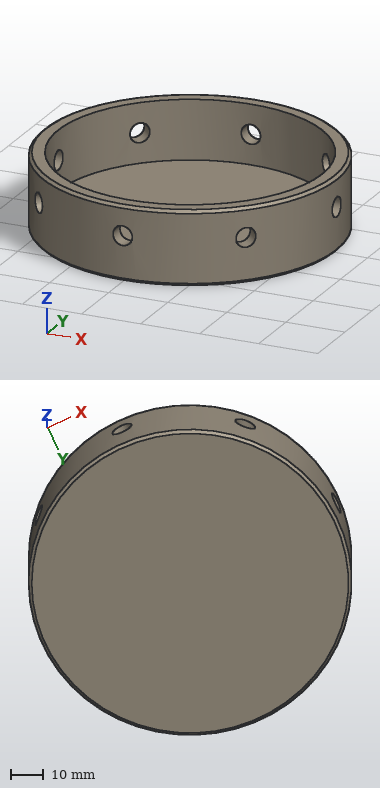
import cadquery as cq

outer_diameter = 99.4
height = 25.0
bore_diameter = 89.4
floor_thickness = (outer_diameter - bore_diameter) / 2
edge_chamfer = 1.0

hole_diameter = 6.5
hole_count = 8
hole_height = (height + floor_thickness) / 2


def cup():
    """Round cup, open at the top, with both outer rims chamfered."""
    body = cq.Workplane("XY").circle(outer_diameter / 2).extrude(height)
    body = body.edges().chamfer(edge_chamfer)
    cavity = (
        cq.Workplane("XY")
        .workplane(offset=floor_thickness)
        .circle(bore_diameter / 2)
        .extrude(height - floor_thickness)
    )
    return body.cut(cavity)


def radial_hole(angle):
    """Cutter running from the cup axis out through the wall."""
    cutter = (
        cq.Workplane("YZ")
        .center(0, hole_height)
        .circle(hole_diameter / 2)
        .extrude(outer_diameter)
    )
    return cutter.rotate((0, 0, 0), (0, 0, 1), angle)


result = cup()
for index in range(hole_count):
    result = result.cut(radial_hole(index * 360 / hole_count))